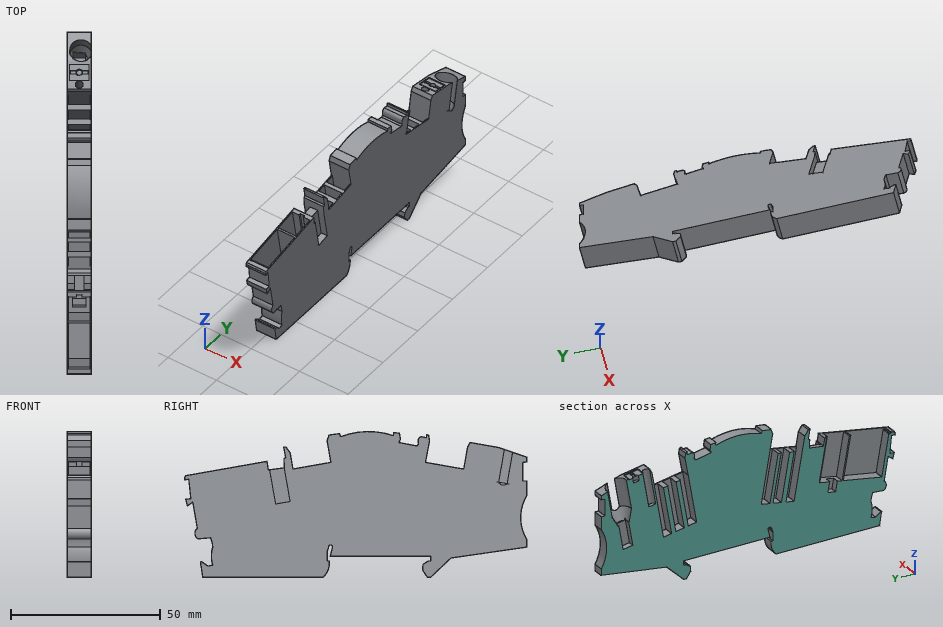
import cadquery as cq
import math

THICKNESS = 8.2
HALF_LENGTH = 57.4
TOP_Z = 48.9

TILT = math.radians(10)

TOWER_BASE_Z = 38.6
REAR_TOWER_Y = 23.4
FRONT_TOWER_Y = -8.4
REAR_DECK_END_Y = 36.2
FRONT_DECK_END_Y = -21.0

REAR_SIDE_HEIGHT = 7.3
FRONT_SIDE_HEIGHT = 7.2
BLADE_SIDE_HEIGHT = 5.4

REAR_ROOF_START_Y = 38.4
REAR_ROOF_END_Y = 47.9
REAR_ROOF_Z = 45.2
FRONT_ROOF_START_Y = -29.7
FRONT_ROOF_END_Y = -57.1
FRONT_ROOF_Z = 38.9

RAIL_Z = 7.0

REAR_DECK_POCKETS = [(REAR_DECK_END_Y, 33.2), (31.3, 28.2), (26.5, REAR_TOWER_Y)]
FRONT_DECK_POCKETS = [(FRONT_TOWER_Y, -11.6), (-13.0, -16.1), (-18.0, FRONT_DECK_END_Y)]
DECK_POCKET_DEPTH = 18.4
SIDE_WALL = 0.5
POCKET_WIDTH = THICKNESS - 2 * SIDE_WALL

MIDDLE_POCKET = (-31.3, -39.4)
FRONT_POCKET = (-40.1, -54.9)
BLOCK_POCKET_DEPTH = 16.4
LEDGE_END_Y = -55.6
LEDGE_DEPTH = 0.6
GROOVE_WIDTH = 1.7
GROOVE_START_Y = -30.7
SOCKET_WIDTH = 4.6
SOCKET_LENGTH = 2.9
SOCKET_OFFSET = 0.6
SOCKET_DEPTH = 3.9

NOTCH_START_Y = -24.0
NOTCH_TOP_Z = 36.7
NOTCH_LENGTH = 4.9
NOTCH_DEPTH = 11.5
WEB_THICKNESS = 3.1

FUNNEL_X = 0.6
FUNNEL_Y = 51.3
FUNNEL_RADIUS = 3.8
FUNNEL_DEPTH = 11.5
CONE_DEPTH = 4.6
CONE_END_RADIUS = 2.1
WIRE_WIDTH = 4.1
WIRE_LENGTH = 3.7
WIRE_DEPTH = 25.3
COVER_SPAN = (46.6, 41.2)
COVER_WIDTH = 6.5
COVER_DEPTH = 0.3
SLOT_SPAN = (44.5, 43.5)
SLOT_WIDTH = 5.9
SLOT_DEPTH = 0.9
SLOT_HOLE_RADIUS = 1.0
SLOT_HOLE_DEPTH = 2.3
TEST_HOLE_Y = 39.8
TEST_HOLE_RADIUS = 1.3
TEST_HOLE_DEPTH = 13.8

CLEARANCE = 0.6
FUNNEL_CLEARANCE = 3.5


def leaning_face_top(y, z, lean, height):
    """Top corner of a tilted face that rises from (y, z)."""
    return (y + lean * height * math.tan(TILT), z + height)


def rear_deck_z(y):
    return TOWER_BASE_Z - (y - REAR_TOWER_Y) * math.tan(TILT)


def front_deck_z(y):
    return TOWER_BASE_Z - (FRONT_TOWER_Y - y) * math.tan(TILT)


def rear_roof_z(y):
    return REAR_ROOF_Z - (y - REAR_ROOF_START_Y) * math.tan(TILT)


def front_roof_z(y):
    return FRONT_ROOF_Z - (FRONT_ROOF_START_Y - y) * math.tan(TILT)


def tilted_plane(x, y, z, lean):
    """Plane square to the tilted axis; lean is +1 towards +Y, -1 towards -Y."""
    normal = (0, lean * math.sin(TILT), math.cos(TILT))
    return cq.Workplane(cq.Plane(origin=(x, y, z), xDir=(1, 0, 0), normal=normal))


def tilted_box(span, surface_z, lean, width, depth):
    """Cutter for a rectangular opening covering a Y span of a sloping surface."""
    middle = (span[0] + span[1]) / 2
    length = abs(span[0] - span[1]) / math.cos(TILT)
    plane = tilted_plane(0, middle, surface_z(middle), lean).workplane(offset=CLEARANCE)
    return plane.rect(width, length).extrude(-(depth + CLEARANCE))


def body():
    """Side profile in Y and Z, starting at the low rear corner."""
    rear_deck_end_z = rear_deck_z(REAR_DECK_END_Y)
    front_deck_end_z = front_deck_z(FRONT_DECK_END_Y)
    rear_side_top = leaning_face_top(REAR_DECK_END_Y, rear_deck_end_z, 1, REAR_SIDE_HEIGHT)
    tower_side_top = leaning_face_top(FRONT_TOWER_Y, TOWER_BASE_Z, -1, FRONT_SIDE_HEIGHT)
    blade_side_top = leaning_face_top(FRONT_DECK_END_Y, front_deck_end_z, -1, BLADE_SIDE_HEIGHT)
    profile = (
        cq.Workplane("YZ", origin=(-THICKNESS / 2, 0, 0))
        .moveTo(HALF_LENGTH, 10.1)
        .lineTo(HALF_LENGTH, 12.6)
        .threePointArc((55.3, 20.1), (HALF_LENGTH, 27.5))
        .lineTo(HALF_LENGTH, 32.4)
        .lineTo(56.0, 32.4)
        .lineTo(56.0, 38.5)
        .lineTo(HALF_LENGTH, 38.7)
        .lineTo(HALF_LENGTH, 40.3)
        .lineTo(REAR_ROOF_END_Y, rear_roof_z(REAR_ROOF_END_Y))
        .lineTo(REAR_ROOF_START_Y, REAR_ROOF_Z)
        .lineTo(*rear_side_top)
        .lineTo(REAR_DECK_END_Y, rear_deck_end_z)
        .lineTo(REAR_TOWER_Y, TOWER_BASE_Z)
        .lineTo(24.8, 45.8)
        .lineTo(24.5, 47.7)
        .lineTo(23.8, 47.9)
        .lineTo(23.7, 46.9)
        .lineTo(21.9, 47.2)
        .threePointArc((21.2, 46.7), (20.9, 45.6))
        .lineTo(21.0, 44.5)
        .lineTo(20.4, 44.1)
        .lineTo(14.5, 45.2)
        .lineTo(15.0, 46.3)
        .lineTo(14.7, 48.3)
        .lineTo(12.6, 48.6)
        .lineTo(12.6, 47.5)
        .threePointArc((3.8, TOP_Z), (-5.0, 47.2))
        .lineTo(-5.4, 48.2)
        .lineTo(-9.0, 47.8)
        .lineTo(*tower_side_top)
        .lineTo(FRONT_TOWER_Y, TOWER_BASE_Z)
        .lineTo(FRONT_DECK_END_Y, front_deck_end_z)
        .lineTo(*blade_side_top)
        .lineTo(-23.4, 43.8)
        .lineTo(-24.2, 43.8)
        .lineTo(-23.5, 40.2)
        .lineTo(-24.1, 39.7)
        .lineTo(NOTCH_START_Y, NOTCH_TOP_Z)
        .lineTo(-29.3, 36.0)
        .lineTo(FRONT_ROOF_START_Y, FRONT_ROOF_Z)
        .lineTo(FRONT_ROOF_END_Y, front_roof_z(FRONT_ROOF_END_Y))
        .lineTo(-HALF_LENGTH, 33.4)
        .lineTo(-HALF_LENGTH, 32.6)
        .lineTo(-56.0, 32.8)
        .lineTo(-55.3, 26.4)
        .lineTo(-57.1, 26.2)
        .lineTo(-56.5, 23.9)
        .lineTo(-54.7, 25.1)
        .lineTo(-53.2, 16.4)
        .threePointArc((-54.0, 14.9), (-52.8, 12.9))
        .lineTo(-48.7, 13.2)
        .threePointArc((-48.2, 11.7), (-48.0, 10.1))
        .threePointArc((-48.5, 7.2), (-48.0, 4.1))
        .lineTo(-49.6, 3.8)
        .lineTo(-51.7, 5.3)
        .lineTo(-52.1, 5.2)
        .lineTo(-51.3, 0)
        .lineTo(-10.9, 0)
        .threePointArc((-9.3, 2.3), (-8.8, 5.5))
        .lineTo(-9.5, 5.5)
        .lineTo(-9.5, 8.8)
        .lineTo(-9.1, 10.0)
        .threePointArc((-8.4, 10.8), (-7.8, 10.2))
        .lineTo(-8.6, RAIL_Z)
        .lineTo(25.1, RAIL_Z)
        .lineTo(25.1, 5.5)
        .lineTo(24.3, 5.5)
        .lineTo(22.5, 4.4)
        .lineTo(22.4, 2.4)
        .lineTo(24.0, 0)
        .lineTo(25.1, 0)
        .lineTo(31.9, 6.4)
        .close()
    )
    return profile.extrude(THICKNESS)


def cut_deck_pockets(part):
    for span in REAR_DECK_POCKETS:
        part = part.cut(tilted_box(span, rear_deck_z, 1, POCKET_WIDTH, DECK_POCKET_DEPTH))
    for span in FRONT_DECK_POCKETS:
        part = part.cut(tilted_box(span, front_deck_z, -1, POCKET_WIDTH, DECK_POCKET_DEPTH))
    return part


def cut_front_block(part):
    """Two deep pockets, a wall groove, a shallow ledge and a socket in the floor."""
    for span in (MIDDLE_POCKET, FRONT_POCKET):
        part = part.cut(tilted_box(span, front_roof_z, -1, POCKET_WIDTH, BLOCK_POCKET_DEPTH))

    groove_span = (GROOVE_START_Y, MIDDLE_POCKET[1])
    part = part.cut(tilted_box(groove_span, front_roof_z, -1, GROOVE_WIDTH, BLOCK_POCKET_DEPTH))

    ledge_span = (FRONT_POCKET[0], LEDGE_END_Y)
    part = part.cut(tilted_box(ledge_span, front_roof_z, -1, POCKET_WIDTH, LEDGE_DEPTH))

    rear_y = MIDDLE_POCKET[0]
    floor_shift = BLOCK_POCKET_DEPTH * math.sin(TILT)
    socket = (
        tilted_plane(0, rear_y, front_roof_z(rear_y), -1)
        .center(0, -(SOCKET_OFFSET + SOCKET_LENGTH / 2 + floor_shift))
        .rect(SOCKET_WIDTH, SOCKET_LENGTH)
        .extrude(-(BLOCK_POCKET_DEPTH + SOCKET_DEPTH))
    )
    return part.cut(socket)


def cut_side_notches(part):
    """Matching notches on both faces, either side of the central web."""
    notch_width = (THICKNESS - WEB_THICKNESS) / 2
    for side in (-1, 1):
        x = side * (WEB_THICKNESS + notch_width) / 2
        notch = (
            tilted_plane(x, NOTCH_START_Y, NOTCH_TOP_Z, -1)
            .workplane(offset=CLEARANCE)
            .center(0, -NOTCH_LENGTH / 2)
            .rect(notch_width, NOTCH_LENGTH)
            .extrude(-(NOTCH_DEPTH + CLEARANCE))
        )
        part = part.cut(notch)
    return part


def tilted_hole(x, y, radius, depth, clearance):
    """Round cutter square to the rear roof."""
    plane = tilted_plane(x, y, rear_roof_z(y), 1).workplane(offset=clearance)
    return plane.circle(radius).extrude(-(depth + clearance))


def cut_rear_terminal(part):
    """Conical wire funnel that breaks out at +X, recessed cover with slot, and test hole."""
    part = part.cut(tilted_hole(FUNNEL_X, FUNNEL_Y, FUNNEL_RADIUS, FUNNEL_DEPTH, FUNNEL_CLEARANCE))
    cone = (
        tilted_plane(FUNNEL_X, FUNNEL_Y, rear_roof_z(FUNNEL_Y), 1)
        .workplane(offset=-FUNNEL_DEPTH)
        .circle(FUNNEL_RADIUS)
        .workplane(offset=-CONE_DEPTH)
        .circle(CONE_END_RADIUS)
        .loft()
    )
    part = part.cut(cone)
    wire_entry = (
        tilted_plane(0, FUNNEL_Y, rear_roof_z(FUNNEL_Y), 1)
        .rect(WIRE_WIDTH, WIRE_LENGTH)
        .extrude(-WIRE_DEPTH)
    )
    part = part.cut(wire_entry)

    part = part.cut(tilted_box(COVER_SPAN, rear_roof_z, 1, COVER_WIDTH, COVER_DEPTH))
    part = part.cut(tilted_box(SLOT_SPAN, rear_roof_z, 1, SLOT_WIDTH, SLOT_DEPTH))
    slot_y = (SLOT_SPAN[0] + SLOT_SPAN[1]) / 2
    part = part.cut(tilted_hole(0, slot_y, SLOT_HOLE_RADIUS, SLOT_HOLE_DEPTH, CLEARANCE))
    return part.cut(tilted_hole(0, TEST_HOLE_Y, TEST_HOLE_RADIUS, TEST_HOLE_DEPTH, CLEARANCE))


result = body()
result = cut_deck_pockets(result)
result = cut_front_block(result)
result = cut_side_notches(result)
result = cut_rear_terminal(result)